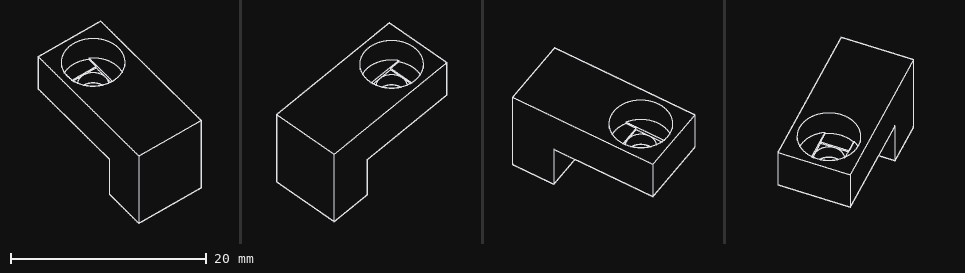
import cadquery as cq

length = 17.0
width = 8.0
height = 10.4
arm_thickness = 5.0
leg_thickness = 5.0

hole_x = width / 2
hole_diameter = 3.2
head_diameter = 6.5
head_depth = 3.0
step_depth = 0.2

hole_centre = (hole_x, width / 2)
slot_depth = head_depth + step_depth
square_depth = slot_depth + step_depth


def sketch_below_top(depth):
    """Workplane at the hole axis, the given depth below the top face."""
    return cq.Workplane("XY", origin=(*hole_centre, height - depth))


def make_block():
    """Horizontal arm with a leg hanging from its +X end."""
    arm = cq.Workplane("XY", origin=(0, 0, height - arm_thickness)).box(
        length, width, arm_thickness, centered=False
    )
    leg = cq.Workplane("XY", origin=(length - leg_thickness, 0, 0)).box(
        leg_thickness, width, height, centered=False
    )
    return arm.union(leg)


def make_screw_hole():
    """Head bore, then a slot across it, then a square, then the round hole."""
    head = sketch_below_top(head_depth).circle(head_diameter / 2).extrude(head_depth)
    slot = (
        sketch_below_top(slot_depth)
        .rect(head_diameter, hole_diameter)
        .extrude(slot_depth)
        .intersect(sketch_below_top(slot_depth).circle(head_diameter / 2).extrude(slot_depth))
    )
    square = sketch_below_top(square_depth).rect(hole_diameter, hole_diameter).extrude(square_depth)
    shank = sketch_below_top(arm_thickness).circle(hole_diameter / 2).extrude(arm_thickness)
    return head.union(slot).union(square).union(shank)


result = make_block().cut(make_screw_hole())